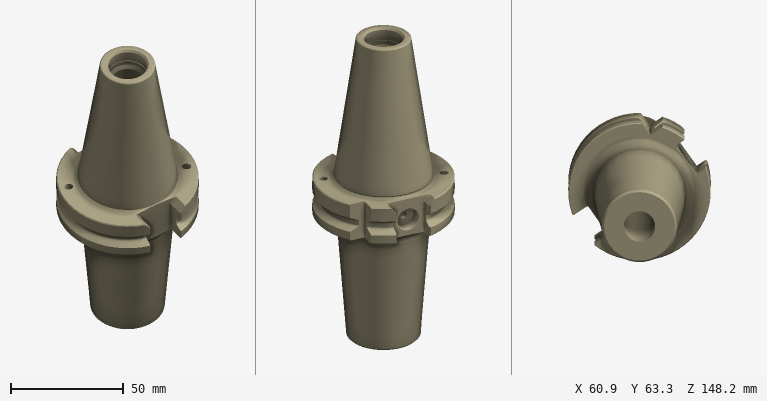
import cadquery as cq
import math

TOP_Z = 68.2
BOTTOM_Z = -80.0

SHANK_TAPER = 7 / 24
GAUGE_RADIUS = 22.2
SHANK_RADIUS = GAUGE_RADIUS - TOP_Z * SHANK_TAPER / 2
SHANK_FILLET = 0.9

NECK_RADIUS = 21.8
LEDGE_RADIUS = 22.4
LEDGE_Z = -0.6
LEDGE_FOOT_RADIUS = 23.7

FLANGE_DIAMETER = 63.3
FLANGE_RADIUS = FLANGE_DIAMETER / 2
FLANGE_TOP_Z = -1.0
FLANGE_BOTTOM_Z = -19.1
FLANGE_CHAMFER = 0.5
GROOVE_Z = -11.3
GROOVE_FLOOR_RADIUS = 28.2
GROOVE_FLOOR_WIDTH = 3.0
GROOVE_FLANK_ANGLE = math.radians(30)
GROOVE_FILLET = 0.7

BODY_RADIUS = 20.8
FLARE_FILLET = 5.0
FLARE_BOTTOM_Z = -24.0
BODY_TAPER_Z = -24.8
TIP_RADIUS = 16.6
TIP_CHAMFER = 0.9

BORE_RADIUS = 7.0
STEP_RADIUS = 8.3
STEP_DEPTH = 8.0
COUNTERBORE_RADIUS = 8.6
COUNTERBORE_DEPTH = 6.0
MOUTH_CHAMFER = 0.9
CONE_HEIGHT = 1.6

SLOT_WIDTH = 16.0
LEFT_FLOOR_DISTANCE = 25.0
RIGHT_FLOOR_DISTANCE = 22.4
SLOT_FILLET = 0.7
SLOT_CHAMFER = 3.0
SLOT_CORNER_CHAMFER = 0.7

NOTCH_X = -18.7
NOTCH_Y = 18.5

POCKET_RADIUS = 5.0
POCKET_DEPTH = 4.6
POCKET_CHAMFER = 0.3
PILOT_RADIUS = 1.0
PILOT_DEPTH = 1.5
PILOT_CHAMFER = 0.6

COOLANT_RADIUS = 1.8
COOLANT_CIRCLE_RADIUS = 27.0
COOLANT_ANGLE = 70.2
COOLANT_TILT = 30.0

FLANGE_HEIGHT = FLANGE_TOP_Z - FLANGE_BOTTOM_Z


def revolve_profile(profile):
    """Close a profile drawn as (radius, Z) and turn it about the Z axis."""
    return profile.close().revolve(360, (0, 0, 0), (0, 1, 0))


def make_body():
    floor_half = GROOVE_FLOOR_WIDTH / 2
    flank_height = (FLANGE_RADIUS - GROOVE_FLOOR_RADIUS) * math.tan(GROOVE_FLANK_ANGLE)
    mouth_half = floor_half + flank_height

    flare_height = FLANGE_BOTTOM_Z - FLARE_BOTTOM_Z
    flare_radius = BODY_RADIUS + FLARE_FILLET - math.sqrt(FLARE_FILLET**2 - flare_height**2)

    profile = (
        cq.Workplane("XZ")
        .moveTo(0, TOP_Z)
        .lineTo(SHANK_RADIUS, TOP_Z)
        .lineTo(GAUGE_RADIUS, 0)
        .lineTo(NECK_RADIUS, NECK_RADIUS - GAUGE_RADIUS)
        .lineTo(NECK_RADIUS, LEDGE_Z)
        .lineTo(LEDGE_RADIUS, LEDGE_Z)
        .lineTo(LEDGE_FOOT_RADIUS, FLANGE_TOP_Z)
        .lineTo(FLANGE_RADIUS - FLANGE_CHAMFER, FLANGE_TOP_Z)
        .lineTo(FLANGE_RADIUS, FLANGE_TOP_Z - FLANGE_CHAMFER)
        .lineTo(FLANGE_RADIUS, GROOVE_Z + mouth_half)
        .lineTo(GROOVE_FLOOR_RADIUS, GROOVE_Z + floor_half)
        .lineTo(GROOVE_FLOOR_RADIUS, GROOVE_Z - floor_half)
        .lineTo(FLANGE_RADIUS, GROOVE_Z - mouth_half)
        .lineTo(FLANGE_RADIUS, FLANGE_BOTTOM_Z + FLANGE_CHAMFER)
        .lineTo(FLANGE_RADIUS - FLANGE_CHAMFER, FLANGE_BOTTOM_Z)
        .lineTo(flare_radius, FLANGE_BOTTOM_Z)
        .radiusArc((BODY_RADIUS, FLARE_BOTTOM_Z), -FLARE_FILLET)
        .lineTo(BODY_RADIUS, BODY_TAPER_Z)
        .lineTo(TIP_RADIUS, BOTTOM_Z + TIP_CHAMFER)
        .lineTo(TIP_RADIUS - TIP_CHAMFER, BOTTOM_Z)
        .lineTo(0, BOTTOM_Z)
    )
    body = revolve_profile(profile).faces(">Z").edges().fillet(SHANK_FILLET)

    reach = (floor_half + mouth_half) / 2
    groove_corners = cq.selectors.BoxSelector((-1.5, -1.5, GROOVE_Z - reach), (1.5, 1.5, GROOVE_Z + reach))
    return body.edges(groove_corners).fillet(GROOVE_FILLET)


def make_bore():
    step_z = TOP_Z - STEP_DEPTH
    profile = (
        cq.Workplane("XZ")
        .moveTo(0, TOP_Z)
        .lineTo(COUNTERBORE_RADIUS + MOUTH_CHAMFER, TOP_Z)
        .lineTo(COUNTERBORE_RADIUS, TOP_Z - MOUTH_CHAMFER)
        .lineTo(COUNTERBORE_RADIUS, TOP_Z - COUNTERBORE_DEPTH)
        .lineTo(STEP_RADIUS, TOP_Z - COUNTERBORE_DEPTH)
        .lineTo(STEP_RADIUS, step_z)
        .lineTo(BORE_RADIUS, step_z - CONE_HEIGHT)
        .lineTo(BORE_RADIUS, BOTTOM_Z)
        .lineTo(0, BOTTOM_Z)
    )
    return revolve_profile(profile)


def make_slot(floor_x):
    """Slot cutter on the +X side: rounded floor corners, chamfered top and outer corners."""
    half = SLOT_WIDTH / 2
    mouth_half = half + SLOT_CHAMFER
    chamfer_z = FLANGE_TOP_Z - SLOT_CHAMFER
    slot = (
        cq.Workplane("YZ", origin=(floor_x, 0, 0))
        .moveTo(-half, FLARE_BOTTOM_Z)
        .lineTo(half, FLARE_BOTTOM_Z)
        .lineTo(half, chamfer_z)
        .lineTo(mouth_half, FLANGE_TOP_Z)
        .lineTo(mouth_half, 0)
        .lineTo(-mouth_half, 0)
        .lineTo(-mouth_half, FLANGE_TOP_Z)
        .lineTo(-half, chamfer_z)
        .close()
        .extrude(FLANGE_RADIUS - floor_x)
        .faces("<X")
        .edges("not #Z")
        .fillet(SLOT_FILLET)
    )
    corner_x = math.sqrt(FLANGE_RADIUS**2 - half**2) - SLOT_CORNER_CHAMFER
    flare = FLANGE_RADIUS - corner_x
    corners = (
        cq.Workplane("XY", origin=(0, 0, FLARE_BOTTOM_Z))
        .moveTo(corner_x, -half)
        .lineTo(corner_x, half)
        .lineTo(FLANGE_RADIUS, half + flare)
        .lineTo(FLANGE_RADIUS, -half - flare)
        .close()
        .extrude(FLANGE_TOP_Z - FLARE_BOTTOM_Z)
    )
    return slot.union(corners)


def make_notch():
    size = FLANGE_RADIUS
    notch = cq.Workplane("XY").box(size, size, FLANGE_HEIGHT, centered=False)
    return notch.translate((NOTCH_X - size, NOTCH_Y, FLANGE_BOTTOM_Z))


def make_chamfered_hole(floor_x, radius, depth, chamfer):
    """Round cutter along +X from a flat face, widest at its mouth."""
    face = cq.Workplane("YZ", origin=(floor_x, 0, GROOVE_Z))
    hole = face.circle(radius).extrude(depth)
    mouth = face.circle(radius + chamfer).extrude(chamfer, taper=45)
    return hole.union(mouth)


def make_pocket():
    floor_x = -LEFT_FLOOR_DISTANCE
    pocket = make_chamfered_hole(floor_x, POCKET_RADIUS, POCKET_DEPTH, POCKET_CHAMFER)
    pilot = make_chamfered_hole(floor_x + POCKET_DEPTH, PILOT_RADIUS, PILOT_DEPTH, PILOT_CHAMFER)
    return pocket.union(pilot)


def make_coolant_hole(angle):
    """Hole from the flange face, leaning inward until it opens into the bore."""
    tilt = math.radians(COOLANT_TILT)
    direction = cq.Vector(-math.sin(tilt), 0, -math.cos(tilt))
    length = COOLANT_CIRCLE_RADIUS / math.sin(tilt)
    start = cq.Vector(COOLANT_CIRCLE_RADIUS, 0, FLANGE_TOP_Z) - direction * COOLANT_RADIUS
    hole = cq.Solid.makeCylinder(COOLANT_RADIUS, length, start, direction)
    return cq.Workplane(hole).rotate((0, 0, 0), (0, 0, 1), angle)


result = make_body().cut(make_bore())
result = result.cut(make_slot(RIGHT_FLOOR_DISTANCE))
result = result.cut(make_slot(LEFT_FLOOR_DISTANCE).rotate((0, 0, 0), (0, 0, 1), 180))
result = result.cut(make_notch()).cut(make_pocket())
for hole_angle in (COOLANT_ANGLE, COOLANT_ANGLE + 180):
    result = result.cut(make_coolant_hole(hole_angle))